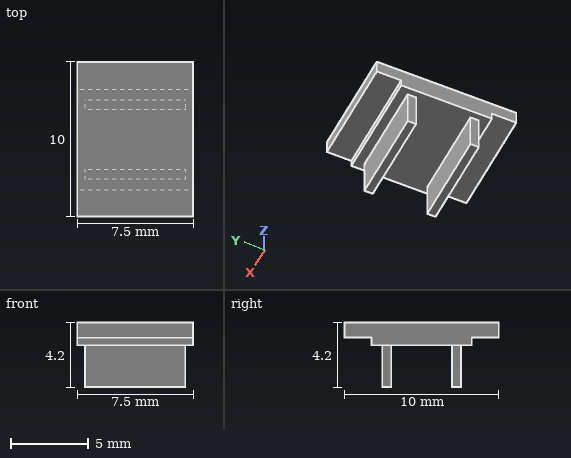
import cadquery as cq

plate_width = 7.5
plate_length = 10.0
plate_thickness = 1.0

pad_length = 6.5
pad_thickness = 0.5

leg_width = 6.5
leg_thickness = 0.6
leg_outer_span = 5.1

total_height = 4.2
leg_height = total_height - plate_thickness - pad_thickness
leg_offset = (leg_outer_span - leg_thickness) / 2

pad_bottom = leg_height
plate_bottom = pad_bottom + pad_thickness


def block(size_x, size_y, size_z, center_y, bottom):
    """Box centred on X, with its Y centre and its bottom height given."""
    return (
        cq.Workplane("XY")
        .box(size_x, size_y, size_z, centered=(True, True, False))
        .translate((0, center_y, bottom))
    )


plate = block(plate_width, plate_length, plate_thickness, 0, plate_bottom)
pad = block(plate_width, pad_length, pad_thickness, 0, pad_bottom)

result = plate.union(pad)
for side in (-1, 1):
    leg = block(leg_width, leg_thickness, leg_height, side * leg_offset, 0)
    result = result.union(leg)